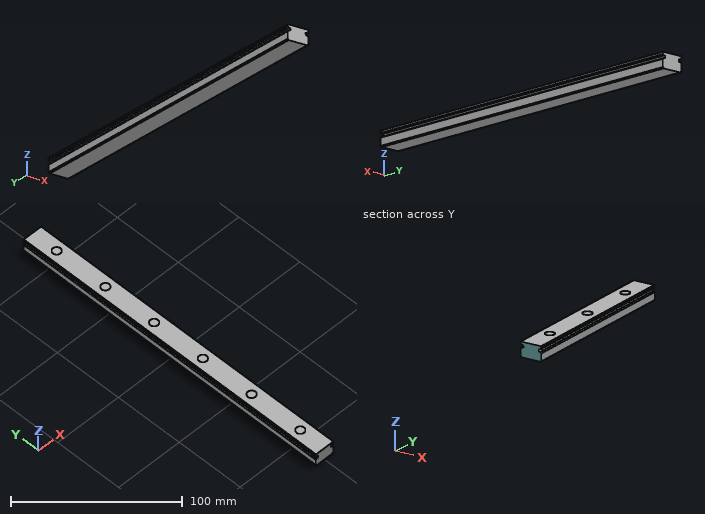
import cadquery as cq

LENGTH = 240.0
WIDTH = 15.0
HEIGHT = 10.0
HALF_WIDTH = WIDTH / 2
TOP_CHAMFER = 0.2
BOTTOM_CHAMFER = 0.7

LIP_HEIGHT = 1.55
BALL_RADIUS = 1.5
BALL_OFFSET = 0.5
MOUTH_HALF_HEIGHT = (BALL_RADIUS**2 - BALL_OFFSET**2) ** 0.5
GROOVE_Z = HEIGHT - LIP_HEIGHT - MOUTH_HALF_HEIGHT

RELIEF_RADIUS = 0.7
RELIEF_DEPTH = 2.05

RECESS_COUNT = 6
RECESS_PITCH = LENGTH / RECESS_COUNT
RECESS_DIAMETER = 6.0
RECESS_DEPTH = 0.12


def rail_body():
    """Rectangular bar with its four long edges chamfered."""
    bar = cq.Workplane("XY").box(WIDTH, LENGTH, HEIGHT, centered=(True, True, False))
    bar = bar.faces(">Z").edges("|Y").chamfer(TOP_CHAMFER)
    return bar.faces("<Z").edges("|Y").chamfer(BOTTOM_CHAMFER)


def groove_cutter():
    """Full-length cutter for the +X side: ball groove plus its relief channel."""
    half_length = LENGTH / 2
    ball_track = (
        cq.Workplane("XZ", origin=(HALF_WIDTH + BALL_OFFSET, 0, GROOVE_Z))
        .circle(BALL_RADIUS)
        .extrude(half_length, both=True)
    )
    relief = (
        cq.Workplane("XZ", origin=(HALF_WIDTH, 0, GROOVE_Z))
        .slot2D(2 * RELIEF_DEPTH, 2 * RELIEF_RADIUS)
        .extrude(half_length, both=True)
    )
    return ball_track.union(relief)


def recess_cutters():
    """Round cutters spaced evenly along the centre line of the top face."""
    return (
        cq.Workplane("XY", origin=(0, 0, HEIGHT - RECESS_DEPTH))
        .rarray(2.5, RECESS_PITCH, 1, RECESS_COUNT)
        .circle(RECESS_DIAMETER / 2)
        .extrude(RECESS_DEPTH)
    )


right_groove = groove_cutter()
left_groove = right_groove.mirror("YZ")
result = rail_body().cut(right_groove).cut(left_groove).cut(recess_cutters())